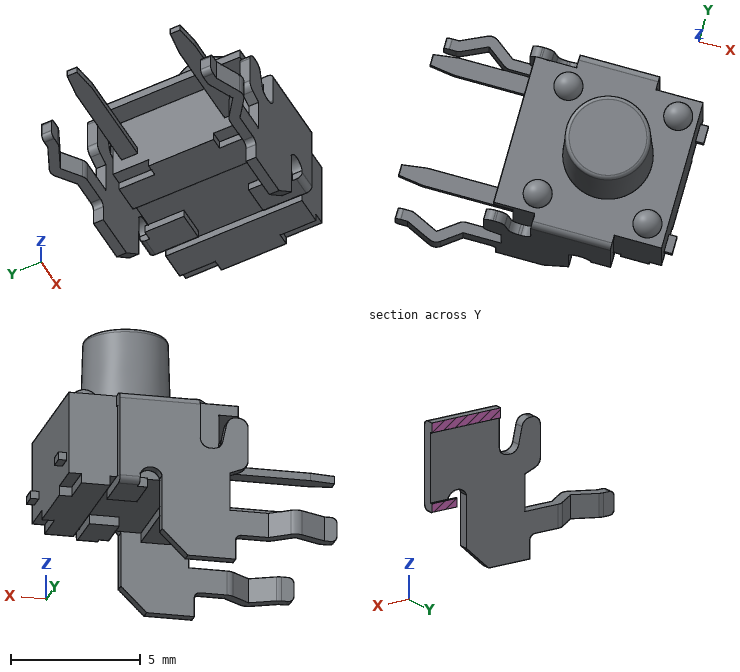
import cadquery as cq
import math

CASE_SIDE = 5.96
CASE_HALF = CASE_SIDE / 2
FOOT_HEIGHT = 0.37
CASE_BOTTOM = -3.68
FLOOR = CASE_BOTTOM + FOOT_HEIGHT
FOOT_INNER_X = 1.34
FOOT_CORNER_X = 2.49
TONGUE_HALF = 1.42

RIVET_PITCH = 4.4
RIVET_DIAMETER = 1.12
RIVET_HEIGHT = 0.41

PIN_PITCH = 4.51
PIN_WIDTH = 0.7
PIN_TIP_WIDTH = 0.43
PIN_THICKNESS = 0.31
PIN_TOP = -2.35
PIN_TIP_X = -7.7
PIN_TAPER_LENGTH = 0.99
PIN_END_X = 3.3

SHEET = 0.43
BEND_RADIUS = 0.25
COVER_LEFT = -3.75
LEG_OUTER_Y = 3.55
LEG_INNER_Y = LEG_OUTER_Y - SHEET
LEG_RIGHT = 1.09

ROUND_RADIUS = 0.4
FINGER_LEFT = -4.0
FINGER_TOP = -0.69
FINGER_FLAT = 0.08
SHOULDER_Z = -2.42
SHOULDER_ANGLE = math.radians(22)
SLOT_RIGHT = -2.1
SLOT_BOTTOM = -2.02
SLOT_FLAT = 0.11

SHANK_LEFT = -3.29
SHANK_RIGHT = -0.58
TOE_LEFT = -3.51
TOE_RIGHT = -1.61
TOE_BOTTOM = -6.5
TOE_FILLET = 0.23
ARM_TOP = -4.51
ARM_BOTTOM = -5.5

TAB_LEFT = 0.29
ARCH_HEIGHT = 0.31
TAB_INNER_LEFT = -0.1

ARM_END_X = -7.5
ARM_CORNER_RADIUS = 0.23
BEND_ROOT = (-4.81, LEG_OUTER_Y)
BEND_PEAK = (-5.82, 3.77)
BEND_TIP = (-7.0, 3.7)

BUTTON_DIAMETER = 3.5
BUTTON_TOP_DIAMETER = 3.3
BUTTON_HEIGHT = 3.34
BUTTON_FILLET = 0.15


def block(x0, x1, y0, y1, z0, z1):
    """Axis-aligned block between two opposite corners."""
    return cq.Workplane("XY").box(x1 - x0, y1 - y0, z1 - z0, centered=False).translate((x0, y0, z0))


def mirrored_pair(shape):
    """A shape on the +Y side joined with its mirror image on the -Y side."""
    return shape.union(shape.mirror("XZ"))


def point_on_circle(centre, radius, angle):
    return (centre[0] + radius * math.cos(angle), centre[1] + radius * math.sin(angle))


def make_case():
    """Square case standing on two T-shaped feet."""
    case = block(-CASE_HALF, CASE_HALF, -CASE_HALF, CASE_HALF, FLOOR, 0)
    foot = block(FOOT_INNER_X, FOOT_CORNER_X, -CASE_HALF, CASE_HALF, CASE_BOTTOM, FLOOR)
    tongue = block(FOOT_CORNER_X, CASE_HALF, -TONGUE_HALF, TONGUE_HALF, CASE_BOTTOM, FLOOR)
    foot = foot.union(tongue)
    return case.union(foot).union(foot.mirror("YZ"))


def make_rivets():
    """Four domed rivet heads, each a cap of a sphere."""
    half = RIVET_DIAMETER / 2
    sphere_radius = (half**2 + RIVET_HEIGHT**2) / (2 * RIVET_HEIGHT)
    mid_angle = math.asin(half / sphere_radius) / 2
    mid_point = point_on_circle((0, RIVET_HEIGHT - sphere_radius), sphere_radius, math.pi / 2 - mid_angle)
    dome = (
        cq.Workplane("XZ")
        .lineTo(half, 0)
        .threePointArc(mid_point, (0, RIVET_HEIGHT))
        .close()
        .revolve(360, (0, 0, 0), (0, 1, 0))
    )
    rivets = cq.Workplane("XY")
    for x in (-RIVET_PITCH / 2, RIVET_PITCH / 2):
        for y in (-RIVET_PITCH / 2, RIVET_PITCH / 2):
            rivets = rivets.union(dome.translate((x, y, 0)))
    return rivets


def make_pin():
    """Flat terminal on the +Y side, passing through the case, with a tapered tip."""
    half = PIN_WIDTH / 2
    tip_half = PIN_TIP_WIDTH / 2
    taper_x = PIN_TIP_X + PIN_TAPER_LENGTH
    outline = [
        (PIN_TIP_X, -tip_half),
        (taper_x, -half),
        (PIN_END_X, -half),
        (PIN_END_X, half),
        (taper_x, half),
        (PIN_TIP_X, tip_half),
    ]
    pin = cq.Workplane("XY").polyline(outline).close().extrude(PIN_THICKNESS)
    return pin.translate((0, PIN_PITCH / 2, PIN_TOP - PIN_THICKNESS))


def make_leg_plate():
    """Flat side plate of the +Y leg, between the cover flange and the folded tab."""
    finger_z = FINGER_TOP - ROUND_RADIUS
    finger_left_centre = (FINGER_LEFT + ROUND_RADIUS, finger_z)
    finger_right_centre = (finger_left_centre[0] + FINGER_FLAT, finger_z)
    slot_z = SLOT_BOTTOM + ROUND_RADIUS
    slot_right_centre = (SLOT_RIGHT - ROUND_RADIUS, slot_z)
    slot_left_centre = (slot_right_centre[0] - SLOT_FLAT, slot_z)
    shoulder_centre = (finger_left_centre[0], SHOULDER_Z)

    dx = slot_left_centre[0] - finger_right_centre[0]
    dz = slot_z - finger_z
    tangent_angle = math.atan2(dz, dx) + math.acos(2 * ROUND_RADIUS / math.hypot(dx, dz))
    finger_exit = point_on_circle(finger_right_centre, ROUND_RADIUS, tangent_angle)
    slot_entry = point_on_circle(slot_left_centre, ROUND_RADIUS, tangent_angle + math.pi)

    shoulder_end = point_on_circle(shoulder_centre, ROUND_RADIUS, -math.pi / 2 - SHOULDER_ANGLE)
    shank_corner_z = shoulder_end[1] - (SHANK_LEFT - shoulder_end[0]) * math.tan(SHOULDER_ANGLE)

    return (
        cq.Workplane("XZ")
        .moveTo(LEG_RIGHT, -SHEET)
        .lineTo(SLOT_RIGHT, -SHEET)
        .lineTo(SLOT_RIGHT, slot_z)
        .radiusArc((slot_right_centre[0], SLOT_BOTTOM), ROUND_RADIUS)
        .lineTo(slot_left_centre[0], SLOT_BOTTOM)
        .radiusArc(slot_entry, ROUND_RADIUS)
        .lineTo(*finger_exit)
        .radiusArc((finger_right_centre[0], FINGER_TOP), -ROUND_RADIUS)
        .lineTo(finger_left_centre[0], FINGER_TOP)
        .radiusArc((FINGER_LEFT, finger_z), -ROUND_RADIUS)
        .lineTo(FINGER_LEFT, SHOULDER_Z)
        .radiusArc(shoulder_end, -ROUND_RADIUS)
        .lineTo(SHANK_LEFT, shank_corner_z)
        .lineTo(SHANK_LEFT, ARM_BOTTOM)
        .lineTo(TOE_LEFT - TOE_FILLET, ARM_BOTTOM)
        .radiusArc((TOE_LEFT, ARM_BOTTOM - TOE_FILLET), TOE_FILLET)
        .lineTo(TOE_LEFT, TOE_BOTTOM)
        .lineTo(TOE_RIGHT, TOE_BOTTOM)
        .lineTo(SHANK_RIGHT, ARM_BOTTOM)
        .lineTo(SHANK_RIGHT, FLOOR)
        .threePointArc(((SHANK_RIGHT + TAB_LEFT) / 2, FLOOR + ARCH_HEIGHT), (TAB_LEFT, FLOOR))
        .lineTo(LEG_RIGHT, FLOOR)
        .close()
        .extrude(-SHEET)
        .translate((0, LEG_INNER_Y, 0))
    )


def bend_normal(start, end, side):
    """Unit normal, on the outer side, of the sheet run between two bend pivots on opposite faces.

    side is 1 when the run starts on its outer face and -1 when it starts on its inner face.
    """
    dx = start[0] - end[0]
    dy = end[1] - start[1]
    slope = math.atan2(dy, dx) + side * math.asin(SHEET / math.hypot(dx, dy))
    return (math.sin(slope), math.cos(slope))


def shifted(point, direction, distance):
    return (point[0] + direction[0] * distance, point[1] + direction[1] * distance)


def bend_middle(pivot, normal_a, normal_b, distance):
    """Middle point of the round that a bend makes about its pivot."""
    x = normal_a[0] + normal_b[0]
    y = normal_a[1] + normal_b[1]
    length = math.hypot(x, y)
    return shifted(pivot, (x / length, y / length), distance)


def make_arm():
    """Kinked snap-in arm of the +Y leg."""
    straight = (0, 1)
    rising = bend_normal(BEND_ROOT, BEND_PEAK, 1)
    falling = bend_normal(BEND_PEAK, BEND_TIP, -1)
    arm = (
        cq.Workplane("XY")
        .moveTo(SHANK_LEFT, LEG_OUTER_Y)
        .lineTo(*BEND_ROOT)
        .lineTo(*shifted(BEND_PEAK, rising, SHEET))
        .threePointArc(
            bend_middle(BEND_PEAK, rising, falling, SHEET),
            shifted(BEND_PEAK, falling, SHEET),
        )
        .lineTo(*BEND_TIP)
        .lineTo(ARM_END_X, BEND_TIP[1])
        .lineTo(ARM_END_X, BEND_TIP[1] - SHEET)
        .lineTo(*shifted(BEND_TIP, straight, -SHEET))
        .threePointArc(
            bend_middle(BEND_TIP, straight, falling, -SHEET),
            shifted(BEND_TIP, falling, -SHEET),
        )
        .lineTo(*BEND_PEAK)
        .lineTo(*shifted(BEND_ROOT, rising, -SHEET))
        .threePointArc(
            bend_middle(BEND_ROOT, rising, straight, -SHEET),
            shifted(BEND_ROOT, straight, -SHEET),
        )
        .lineTo(SHANK_LEFT, LEG_INNER_Y)
        .close()
        .extrude(ARM_TOP - ARM_BOTTOM)
        .translate((0, 0, ARM_BOTTOM))
    )
    return arm.faces("<X").edges("|Y").fillet(ARM_CORNER_RADIUS)


def make_leg():
    """Complete +Y leg: flange from the cover, side plate, folded tab and snap-in arm."""
    flange = block(SLOT_RIGHT, LEG_RIGHT, CASE_HALF, LEG_OUTER_Y, -SHEET, 0)
    flange = flange.edges("|X and >Y and >Z").fillet(BEND_RADIUS)
    tab = block(TAB_LEFT, LEG_RIGHT, TONGUE_HALF, LEG_OUTER_Y, CASE_BOTTOM, FLOOR)
    tab = tab.edges("|X and >Y and <Z").fillet(BEND_RADIUS)
    wide_tab = block(TAB_INNER_LEFT, LEG_RIGHT, TONGUE_HALF, LEG_INNER_Y, CASE_BOTTOM, FLOOR)
    leg = make_leg_plate().union(flange).union(tab)
    return leg.union(wide_tab).union(make_arm())


def make_base():
    """Case, cover plate, rivets, pins and legs as one body."""
    cover = block(COVER_LEFT, CASE_HALF, -CASE_HALF, CASE_HALF, -SHEET, 0)
    base = make_case().union(cover)
    base = base.union(mirrored_pair(make_leg()))
    base = base.union(mirrored_pair(make_pin()))
    return base.union(make_rivets())


def make_button():
    """Tapered round button standing on the cover."""
    button = (
        cq.Workplane("XY")
        .circle(BUTTON_DIAMETER / 2)
        .workplane(offset=BUTTON_HEIGHT)
        .circle(BUTTON_TOP_DIAMETER / 2)
        .loft()
    )
    return button.faces(">Z").edges().fillet(BUTTON_FILLET)


base = make_base()
button = make_button()

result = cq.Compound.makeCompound([base.val(), button.val()])